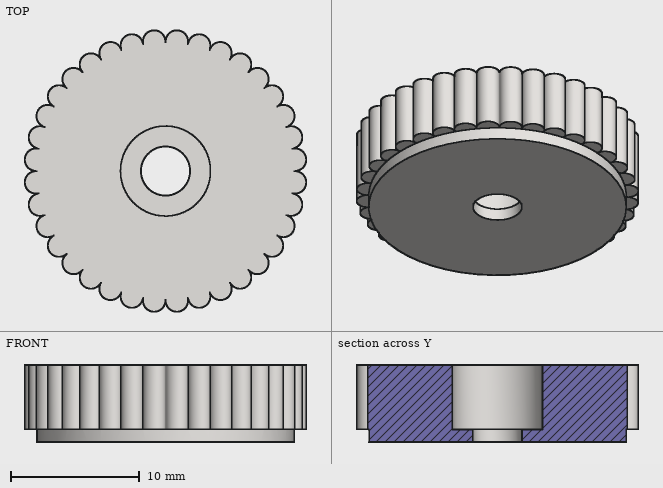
import cadquery as cq

flange_diameter = 20.0
flange_height = 1.0

tooth_count = 36
tooth_diameter = 1.76
pitch_radius = 10.095
wheel_height = 5.0

bore_diameter = 3.8
counterbore_diameter = 7.0
counterbore_depth = wheel_height

total_height = flange_height + wheel_height
tooth_angle = 360.0 / tooth_count


def make_core():
    """Plain disc that forms both the flange and the root of the teeth."""
    return cq.Workplane("XY").circle(flange_diameter / 2).extrude(total_height)


def make_teeth():
    """Ring of round teeth, with a gap between teeth on the X and Y axes."""
    return (
        cq.Workplane("XY")
        .workplane(offset=flange_height)
        .polarArray(pitch_radius, tooth_angle / 2, 360, tooth_count)
        .circle(tooth_diameter / 2)
        .extrude(wheel_height)
    )


def cut_bore(body):
    """Cut the counterbored through hole from the top face."""
    return (
        body.faces(">Z")
        .workplane(origin=(0, 0, total_height))
        .cboreHole(bore_diameter, counterbore_diameter, counterbore_depth)
    )


result = cut_bore(make_core().union(make_teeth()))